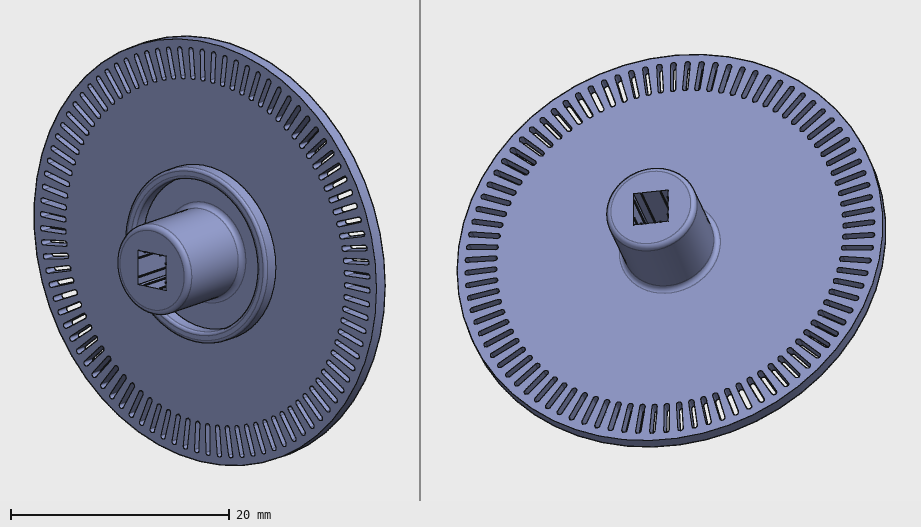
import cadquery as cq
import math

disc_diameter = 40.0
disc_thickness = 1.3
overall_length = 17.0

hub_diameter = 8.5
hub_end_fillet = 0.5
hub_base_fillet = 0.5

ring_outer_diameter = 16.5
ring_inner_diameter = 14.4
ring_height = 1.5
ring_rim_fillet = 0.3

slot_count = 90
slot_pitch_angle = 360.0 / slot_count
slot_first_angle = -slot_pitch_angle / 4
slot_inner_radius = 16.25
slot_outer_radius = 19.25
slot_width = 0.5

bore_side = 3.25
bore_rib_height = 0.1
bore_rib_width = 0.1
bore_rib_spacing = 1.8

disc_front = -disc_thickness / 2
hub_front = -overall_length / 2
ring_front = disc_front - ring_height


def plane_at(y):
    """Sketch plane at the given Y, extruding toward +Y; its local y axis points along -Z."""
    return cq.Workplane(cq.Plane(origin=(0, y, 0), xDir=(1, 0, 0), normal=(0, 1, 0)))


def make_disc():
    return plane_at(disc_front).circle(disc_diameter / 2).extrude(disc_thickness)


def make_hub():
    hub = plane_at(hub_front).circle(hub_diameter / 2).extrude(overall_length)
    return hub.faces("<Y or >Y").edges().fillet(hub_end_fillet)


def make_ring():
    ring = (
        plane_at(ring_front)
        .circle(ring_outer_diameter / 2)
        .circle(ring_inner_diameter / 2)
        .extrude(ring_height)
    )
    return ring.faces("<Y").edges().fillet(ring_rim_fillet)


def fillet_hub_base(body):
    """Round the inside corner between the hub and each face of the disc."""
    for side in (-1, 1):
        face_y = side * disc_thickness / 2
        base_edge = body.edges("%CIRCLE").filter(
            lambda edge: math.isclose(edge.Center().y, face_y, abs_tol=1e-6)
            and math.isclose(edge.radius(), hub_diameter / 2)
        )
        body = base_edge.fillet(hub_base_fillet)
    return body


def make_slots():
    slot_length = slot_outer_radius - slot_inner_radius
    slot_centre_radius = (slot_outer_radius + slot_inner_radius) / 2
    slot = (
        plane_at(-disc_thickness)
        .center(slot_centre_radius, 0)
        .slot2D(slot_length, slot_width)
        .extrude(2 * disc_thickness)
        .val()
    )
    slots = [
        slot.rotate(cq.Vector(0, 0, 0), cq.Vector(0, 1, 0), -(slot_first_angle + i * slot_pitch_angle))
        for i in range(slot_count)
    ]
    return cq.Workplane(cq.Compound.makeCompound(slots))


def make_bore():
    """Square prism with thin grooves, which leave ribs on the walls once it is cut away."""
    bore = plane_at(hub_front).rect(bore_side, bore_side).extrude(overall_length)
    wall_distance = bore_side / 2
    rib_offset = bore_rib_spacing / 2
    for wall in range(4):
        rib_pair = (
            plane_at(hub_front)
            .pushPoints([(wall_distance, -rib_offset), (wall_distance, rib_offset)])
            .rect(2 * bore_rib_height, bore_rib_width)
            .extrude(overall_length)
            .rotate((0, 0, 0), (0, 1, 0), 90 * wall)
        )
        bore = bore.cut(rib_pair)
    return bore


body = make_disc().union(make_hub())
body = fillet_hub_base(body)
body = body.union(make_ring())
body = body.cut(make_slots())
result = body.cut(make_bore())